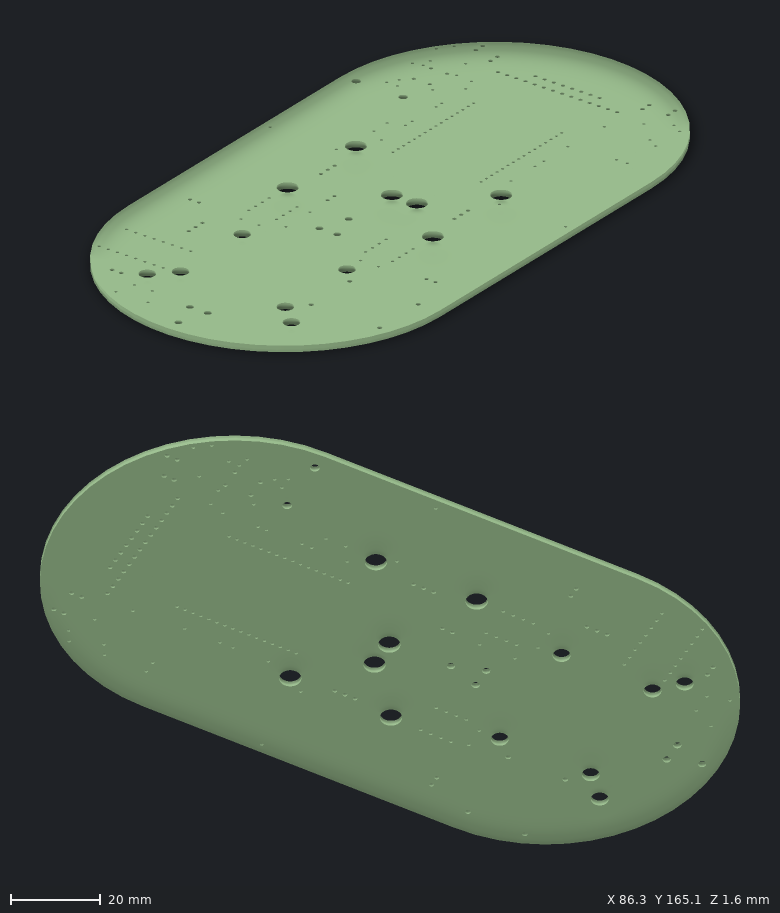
import cadquery as cq

LENGTH = 165.1
WIDTH = 86.3
THICKNESS = 1.6

LEAD_DIA = 0.76
PIN_DIA = 0.8
HEADER_DIA = 1.0
TERMINAL_DIA = 1.1
MOTOR_DIA = 1.2
SCREW_DIA = 1.8
POWER_DIA = 2.1
MOUNT_DIA = 4.0
LARGE_DIA = 5.0

LONG_HEADER_COUNT = 14
LONG_HEADER_SPAN = 33.0
HEADER_PITCH = LONG_HEADER_SPAN / (LONG_HEADER_COUNT - 1)

MODULE_COUNT = 16
MODULE_TOP = 46.9
MODULE_BOTTOM = 16.8
MODULE_PITCH = (MODULE_TOP - MODULE_BOTTOM) / (MODULE_COUNT - 1)

LEAD_SPAN = 8.9
SHORT_LEAD_SPAN = 5.0
DIAGONAL_STEP = 6.3


def row(x_left, y, count, pitch=HEADER_PITCH):
    """Evenly spaced points running along +X."""
    return [(x_left + i * pitch, y) for i in range(count)]


def column(x, y_top, count, pitch=HEADER_PITCH):
    """Evenly spaced points running along -Y."""
    return [(x, y_top - i * pitch) for i in range(count)]


def mirrored(x, y):
    """A point and its mirror image across the YZ plane."""
    return [(-x, y), (x, y)]


def lead_pair(x, y_top):
    """Two component leads, one above the other."""
    return column(x, y_top, 2, LEAD_SPAN)


def drill(body, diameter, points):
    """Drill through holes of one diameter at all the points."""
    drills = cq.Workplane("XY").pushPoints(points).circle(diameter / 2).extrude(THICKNESS)
    return body.cut(drills)


large_holes = mirrored(20.1, 14.4) + mirrored(20.1, -11.0) + [(0.7, -0.2), (7.6, -0.2)]
mount_holes = mirrored(14.5, -35.5) + mirrored(14.5, -58.5) + [(-19.8, -63.7), (20.1, -63.7)]

screw_holes = [(0, -15.4), (0, -78.8)] + mirrored(2.5, -23.0) + mirrored(2.5, -71.2)
power_holes = [(-39.1, 40.0), (-26.1, 40.0)]

motor_holes = [(x, y) for x in (18.5, 37.5) for y in (-39.8, -54.2)]

terminal_holes = (
    column(-21.1, 68.4, 2)
    + column(20.1, 69.5, 2)
    + column(-26.9, 70.7, 2)
    + column(26.4, 70.7, 2)
    + row(-27.2, -66.9, 2)
)

header_holes = (
    row(-LONG_HEADER_SPAN / 2, 62.4, LONG_HEADER_COUNT)
    + row(-8.6, 65.7, 8)
    + column(-18.2, 3.8, 3)
    + column(18.8, 3.8, 3)
    + column(-9.2, -8.3, 2)
    + column(-25.0, -36.3, 3)
    + mirrored(31.5, -28.7)
    + mirrored(34.0, -28.7)
    + [(x, y) for x in (-29.5, -25.1) for y in (55.0, 48.5)]
)

pin_holes = (
    column(-20.3, -17.7, 4)
    + column(-12.7, -17.5, 4)
    + column(12.7, -18.5, 4)
    + column(20.3, -18.7, 4)
    + row(-36.5, -49.0, 8)
    + row(-36.5, -59.3, 8)
)

module_holes = [
    point for x in (-11.7, 12.7) for point in column(x, MODULE_TOP, MODULE_COUNT, MODULE_PITCH)
]

upright_leads = (
    lead_pair(-34.3, 63.4)
    + lead_pair(-31.9, 66.7)
    + lead_pair(-31.9, 55.1)
    + lead_pair(-23.0, 55.6)
    + lead_pair(30.5, 64.7)
    + lead_pair(33.4, 63.0)
    + lead_pair(-17.3, 51.5)
    + lead_pair(-17.3, 40.5)
    + lead_pair(-17.3, 29.0)
    + lead_pair(17.8, 42.3)
    + lead_pair(17.8, 30.0)
    + lead_pair(-8.9, -17.8)
    + column(-21.3, 27.5, 2, SHORT_LEAD_SPAN)
)

level_leads = (
    row(-19.2, -29.7, 2, SHORT_LEAD_SPAN)
    + row(14.4, -30.2, 2, SHORT_LEAD_SPAN)
    + row(-18.8, -69.8, 2, SHORT_LEAD_SPAN)
    + row(-20.1, -75.0, 2, LEAD_SPAN)
    + mirrored(41.0, 10.4)
    + mirrored(22.6, 10.4)
    + mirrored(30.4, 43.6)
    + mirrored(33.4, 43.6)
)

diagonal_leads = [
    (-18.5, 55.1),
    (-18.5 - DIAGONAL_STEP, 55.1 + DIAGONAL_STEP),
    (18.5, 55.0),
    (18.5 + DIAGONAL_STEP, 55.0 + DIAGONAL_STEP),
]

plate = cq.Workplane("XY").slot2D(LENGTH, WIDTH, 90).extrude(THICKNESS)
hole_groups = [
    (LARGE_DIA, large_holes),
    (MOUNT_DIA, mount_holes),
    (POWER_DIA, power_holes),
    (SCREW_DIA, screw_holes),
    (MOTOR_DIA, motor_holes),
    (TERMINAL_DIA, terminal_holes),
    (HEADER_DIA, header_holes),
    (PIN_DIA, pin_holes),
    (LEAD_DIA, module_holes + upright_leads + level_leads + diagonal_leads),
]
for hole_diameter, hole_points in hole_groups:
    plate = drill(plate, hole_diameter, hole_points)

result = plate